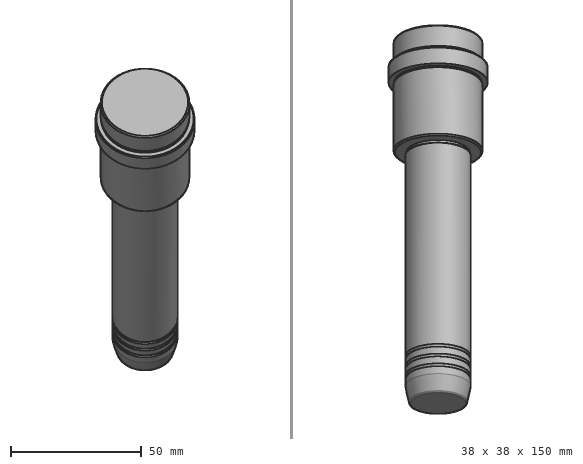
import cadquery as cq

height = 150.0

head_diameter = 34.0
head_radius = head_diameter / 2
head_length = 45.9
head_chamfer = 0.6
head_bottom = height - head_length
flange_diameter = 38.0
flange_radius = flange_diameter / 2
flange_top = height - 10.0
flange_bottom = height - 17.0
flange_chamfer = 0.5

relief_depth = 0.3
upper_relief_width = 1.2
lower_relief_width = 0.8

shaft_diameter = 25.0
shaft_radius = shaft_diameter / 2
neck_depth = 0.5
neck_length = 1.2

groove_width = 1.2
groove_depth = 0.5
groove_pitch = 4.0
lowest_groove_center = 10.6
groove_count = 3

taper_top = 7.0
taper_reduction = 1.5
taper_bulge = 0.08
taper_end_radius = shaft_radius - taper_reduction
taper_middle_radius = shaft_radius - taper_reduction / 2 + taper_bulge
tip_fillet = 0.8


def cylinder(radius, bottom, top):
    return cq.Workplane("XY").workplane(offset=bottom).circle(radius).extrude(top - bottom)


def relief_groove(bottom, top):
    """Square-sided ring to cut from the head."""
    outer = cylinder(head_radius + relief_depth, bottom, top)
    return outer.cut(cylinder(head_radius - relief_depth, bottom, top))


def make_shaft():
    profile = (
        cq.Workplane("XZ")
        .lineTo(taper_end_radius, 0)
        .threePointArc((taper_middle_radius, taper_top / 2), (shaft_radius, taper_top))
    )
    for index in range(groove_count):
        center = lowest_groove_center + index * groove_pitch
        profile = profile.lineTo(shaft_radius, center - groove_width / 2).threePointArc(
            (shaft_radius - groove_depth, center),
            (shaft_radius, center + groove_width / 2),
        )
    return (
        profile.lineTo(shaft_radius, head_bottom - neck_length)
        .lineTo(shaft_radius - neck_depth, head_bottom - neck_length)
        .lineTo(shaft_radius - neck_depth, head_bottom)
        .lineTo(0, head_bottom)
        .close()
        .revolve(360, (0, 0), (0, 1))
        .faces("<Z")
        .edges()
        .fillet(tip_fillet)
    )


def make_head():
    head = cylinder(head_radius, head_bottom, height).edges("%CIRCLE").chamfer(head_chamfer)
    head = head.cut(relief_groove(flange_top, flange_top + upper_relief_width))
    head = head.cut(relief_groove(flange_bottom - lower_relief_width, flange_bottom))
    flange = cylinder(flange_radius, flange_bottom, flange_top).faces(">Z").edges().chamfer(flange_chamfer)
    return head.union(flange)


result = make_head().union(make_shaft())